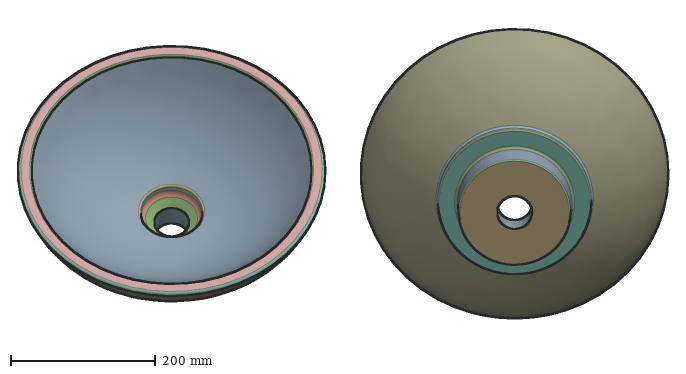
import cadquery as cq
import math

rim_radius = 213.02
rim_outer_round = 4.5
rim_crown = 0.3
rim_crown_inner_radius = 196.7
rim_inner_round = 3.0

overall_height = 161.49
outer_wall_mid = [(198.8, -37.0), (172.2, -66.0), (128.3, -98.5)]
outer_wall_rim_slope = 72.0
outer_wall_base_slope = 27.0
basin_sphere_radius = 237.5

flange_radius = 106.4
flange_top_z = -111.7
flange_bottom_z = -120.3
flange_round = 1.8
bowl_to_flange_width = 2.6
bowl_to_flange_height = 3.7

foot_top_radius = 79.3
foot_bottom_radius = 77.6
foot_top_fillet = 3.8
foot_bottom_round = 1.8

drain_lip_radius = 45.6
drain_lip_z = -98.5
drain_lip_round = 3.5
drain_wall_top_radius = 42.8
drain_wall_bottom_radius = 41.9
drain_wall_top_z = -102.0
drain_wall_bottom_z = -107.7
seat_radius = 36.0
seat_z = -115.7
seat_round = 12.0
bore_radius = 48.15 / 2
bore_top_z = -125.0


def inward_direction(slope):
    """Unit vector pointing inward and down at a slope in degrees below horizontal."""
    angle = math.radians(slope)
    return (-math.cos(angle), -math.sin(angle))


def outer_profile(sketch):
    """Over the crown of the rim and down the outside to the underside of the foot."""
    crown_outer_radius = rim_radius - rim_outer_round
    crown_peak_radius = (crown_outer_radius + rim_crown_inner_radius) / 2
    foot_top_z = flange_bottom_z - foot_top_fillet
    foot_round_z = -overall_height + foot_bottom_round
    return (
        sketch.threePointArc((crown_peak_radius, 0), (crown_outer_radius, -rim_crown))
        .radiusArc((rim_radius, -rim_crown - rim_outer_round), rim_outer_round)
        .spline(
            outer_wall_mid
            + [(flange_radius + bowl_to_flange_width, flange_top_z + bowl_to_flange_height)],
            tangents=[inward_direction(outer_wall_rim_slope), inward_direction(outer_wall_base_slope)],
            includeCurrent=True,
        )
        .tangentArcPoint((flange_radius, flange_top_z), relative=False)
        .lineTo(flange_radius, flange_bottom_z + flange_round)
        .radiusArc((flange_radius - flange_round, flange_bottom_z), flange_round)
        .lineTo(foot_top_radius + foot_top_fillet, flange_bottom_z)
        .radiusArc((foot_top_radius, foot_top_z), -foot_top_fillet)
        .lineTo(foot_bottom_radius, foot_round_z)
        .radiusArc((foot_bottom_radius - foot_bottom_round, -overall_height), foot_bottom_round)
    )


def inner_profile(sketch):
    """From the bottom of the bore, up through the drain and basin to the rim."""
    basin_edge = (rim_crown_inner_radius - rim_inner_round, -rim_crown - rim_inner_round)
    drain_lip = (drain_lip_radius, drain_lip_z)
    return (
        sketch.lineTo(bore_radius, -overall_height)
        .lineTo(bore_radius, bore_top_z)
        .lineTo(seat_radius, seat_z)
        .radiusArc((drain_wall_bottom_radius, drain_wall_bottom_z), -seat_round)
        .lineTo(drain_wall_top_radius, drain_wall_top_z)
        .radiusArc(drain_lip, drain_lip_round)
        .radiusArc(basin_edge, -basin_sphere_radius)
        .radiusArc((rim_crown_inner_radius, -rim_crown), rim_inner_round)
    )


profile = cq.Workplane("XZ").moveTo(rim_crown_inner_radius, -rim_crown)
profile = inner_profile(outer_profile(profile)).close()
result = profile.revolve(360, (0, 0, 0), (0, 1, 0))